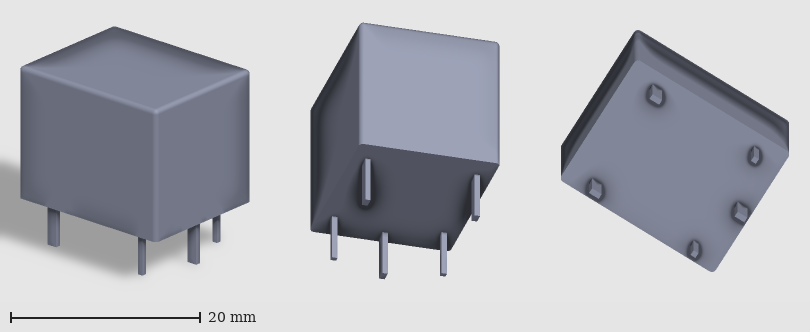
import cadquery as cq

body_length = 19.2
body_width = 15.4
body_height = 15.0
edge_radius = 0.5

pin_length = 5.0
pin_thickness = 0.6
wide_pin = 1.2
narrow_pin = 0.6
row_offset = 6.0
coil_x = -6.15
contact_x = 6.18
common_x = 8.2

pins = [(common_x, 0, wide_pin)]
for row_y in (-row_offset, row_offset):
    pins.append((coil_x, row_y, wide_pin))
    pins.append((contact_x, row_y, narrow_pin))


def make_housing():
    box = cq.Workplane("XY").box(body_length, body_width, body_height, centered=(True, True, False))
    return box.edges("|Z or >Z").fillet(edge_radius)


def make_pin(x, y, pin_width):
    return cq.Workplane("XY").center(x, y).rect(pin_width, pin_thickness).extrude(-pin_length)


result = make_housing()
for x, y, pin_width in pins:
    result = result.union(make_pin(x, y, pin_width))